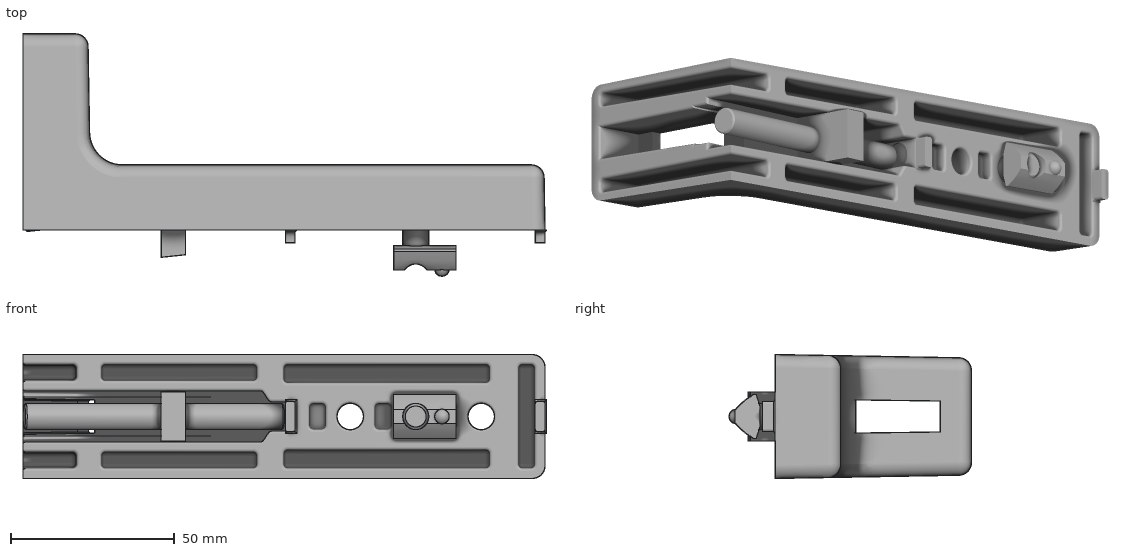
import cadquery as cq
import math

BODY_LENGTH = 159.6
BODY_HEIGHT = 38.0
BODY_HALF_HEIGHT = BODY_HEIGHT / 2
ARM_DEPTH = 20.0
LEG_DEPTH = 60.0
LEG_WIDTH = 21.0
BODY_DRAFT = 1.0
INNER_CORNER_RADIUS = 10.0
EDGE_RADIUS = 4.0

SIDE_WALL = 3.0
FLOOR_WALL = 3.4
END_WALL = 3.0
POCKET_DRAFT = 0.5
POCKET_CORNER_RADIUS = 1.3
POCKET_FLOOR_RADIUS = 1.3
RIM_RADIUS = 0.8
POCKET_TOP = BODY_HALF_HEIGHT - SIDE_WALL
SHORT_POCKET_HEIGHT = 5.1
LONG_POCKET_HEIGHT = 5.8
LEG_POCKET_END = 16.7
MIDDLE_POCKET_START = 24.0
MIDDLE_POCKET_LENGTH = 47.7
LONG_POCKET_START = 79.7
LONG_POCKET_LENGTH = 63.1
END_POCKET_WIDTH = 5.1

TILT = 6.0
SLOPE = math.tan(math.radians(TILT))
CHANNEL_HALF_HEIGHT = 7.8
CHANNEL_TAPER_START = 73.2
NECK_START = 75.4
NECK_HALF_HEIGHT = 4.5
CHANNEL_END = 80.2
CHANNEL_START_DEPTH = 10.1
SLOT_HALF_HEIGHT = 6.0
SLOT_END = 57.3
SLOT_DEPTH = CHANNEL_START_DEPTH + SLOT_END * SLOPE

LEG_OPENING_FRONT = 8.0
LEG_OPENING_FRONT_HALF_HEIGHT = 5.6
LEG_OPENING_BACK_HALF_HEIGHT = 5.0
LEG_OPENING_DRAFT = 1.0
WINDOW_REACH = 22.0
WINDOW_BACK = 50.5

HOLE_PITCH = 20.0
HOLE_COUNT = 3
FIRST_HOLE_X = 100.0
HOLE_RADIUS = 4.0
FIRST_RECESS_X = 90.1
RECESS_WIDTH = 5.1
RECESS_HEIGHT = 8.0
RECESS_DEPTH = 4.0
RECESS_FLOOR_RADIUS = 0.8

SEAT_RADIUS = 4.2
SEAT_Y = 8.0
SEAT_DEPTH = 0.8

TAB_WIDTH = 3.0
TAB_HALF_HEIGHT = 4.6
TAB_PROJECTION = 3.8
TAB_EDGE_RADIUS = 0.8
TAB_FLARE = 0.5
FLARE_ANGLE = 45

ROD_RADIUS = 4.0
ROD_LENGTH = 79.5
ROD_CHAMFER = 0.5
ROD_START_X = 0.5
ROD_START_Y = 3.5

SLIDER_X = 42.3
SLIDER_WIDTH = 7.5
SLIDER_HALF_HEIGHT = 7.5
SLIDER_FRONT = -8.3
SLIDER_BACK = 13.3

STUD_X = FIRST_HOLE_X + HOLE_PITCH
STUD_FRONT = -10.2
STUD_CHAMFER = 0.8
NUT_X = 113.4
NUT_LENGTH = 19.0
NUT_BACK = -4.6
NUT_SIDE_BACK = -5.8
NUT_SHOULDER = -6.5
NUT_FRONT = -12.2
NUT_HALF_HEIGHT = 6.7
NUT_BACK_HALF_HEIGHT = 3.2
NUT_FLAT_HALF_HEIGHT = 2.1
NUT_FLANK_BULGE = 0.24
BALL_X = 128.1
BALL_RADIUS = 2.2
BALL_FRONT = -14.1

BACKWARD = (0, 1, 0)
FORWARD = (0, -1, 0)
TOLERANCE = 0.02
MARGIN = 0.2


def block(x0, x1, y0, y1, z0, z1):
    """Box between two opposite corners."""
    return cq.Workplane("XY").box(x1 - x0, y1 - y0, z1 - z0, centered=False).translate((x0, y0, z0))


def drafted_block(x, z, width, height, depth, draft):
    """Block centred at (x, z) that starts at Y = 0 and narrows toward +Y."""
    plane = cq.Plane(origin=(x, 0, z), xDir=(1, 0, 0), normal=BACKWARD)
    return cq.Workplane(plane).rect(width, height).extrude(depth, taper=draft)


def round_bar(x, radius, y_front, y_back):
    """Cylinder along Y on the centre line of the part."""
    plane = cq.Plane(origin=(x, y_front, 0), xDir=(0, 0, 1), normal=BACKWARD)
    return cq.Workplane(plane).circle(radius).extrude(y_back - y_front)


def lies_at_start(edge):
    """True for an edge in the flat face X = 0 or the flat face Y = 0."""
    box = edge.BoundingBox()
    return box.xmax < TOLERANCE or box.ymax < TOLERANCE


def body_blank():
    """Drafted L shape with its inner corner and outer edges rounded; X = 0 and Y = 0 stay sharp."""
    arm = drafted_block(0, 0, 2 * BODY_LENGTH, 2 * BODY_HALF_HEIGHT, ARM_DEPTH, BODY_DRAFT)
    leg = drafted_block(0, 0, 2 * LEG_WIDTH, 2 * BODY_HALF_HEIGHT, LEG_DEPTH, BODY_DRAFT)
    kept_half = block(0, BODY_LENGTH, 0, LEG_DEPTH, -BODY_HALF_HEIGHT, BODY_HALF_HEIGHT)
    blank = arm.union(leg).intersect(kept_half).clean()
    corner = cq.selectors.BoxSelector(
        (LEG_WIDTH - 1.6, ARM_DEPTH - 1.6, -1.6), (LEG_WIDTH + 1.6, ARM_DEPTH + 1.6, 1.6))
    blank = blank.edges(corner).fillet(INNER_CORNER_RADIUS)
    outer_edges = [e for e in blank.edges().vals() if not lies_at_start(e)]
    return blank.newObject(outer_edges).fillet(EDGE_RADIUS)


def pocket(x0, x1, z_centre, height, depth, floor_radius=POCKET_FLOOR_RADIUS):
    """Drafted pocket with rounded corners and a rounded floor."""
    shape = drafted_block((x0 + x1) / 2, z_centre, x1 - x0, height, depth, POCKET_DRAFT)
    corners = [e for e in shape.edges().vals() if e.BoundingBox().ylen > depth / 2]
    shape = shape.newObject(corners).fillet(POCKET_CORNER_RADIUS)
    return shape.faces(">Y").edges().fillet(floor_radius)


def rod_channel():
    """Channel with a necked end and a floor sloping parallel to the rod."""
    outline = [
        (-CHANNEL_END, CHANNEL_HALF_HEIGHT),
        (CHANNEL_TAPER_START, CHANNEL_HALF_HEIGHT),
        (NECK_START, NECK_HALF_HEIGHT),
        (CHANNEL_END, NECK_HALF_HEIGHT),
        (CHANNEL_END, -NECK_HALF_HEIGHT),
        (NECK_START, -NECK_HALF_HEIGHT),
        (CHANNEL_TAPER_START, -CHANNEL_HALF_HEIGHT),
        (-CHANNEL_END, -CHANNEL_HALF_HEIGHT),
    ]
    plane = cq.Plane(origin=(0, 0, 0), xDir=(1, 0, 0), normal=BACKWARD)
    walls = cq.Workplane(plane).polyline(outline).close().extrude(ARM_DEPTH)
    bends = [e for e in walls.edges("|Y").vals() if abs(e.Center().x) < CHANNEL_END - MARGIN]
    walls = walls.newObject(bends).fillet(POCKET_CORNER_RADIUS)
    above_floor = (
        cq.Workplane("XY", origin=(0, 0, -CHANNEL_HALF_HEIGHT))
        .polyline([
            (0, 0),
            (CHANNEL_END, 0),
            (CHANNEL_END, CHANNEL_START_DEPTH + CHANNEL_END * SLOPE),
            (0, CHANNEL_START_DEPTH),
        ])
        .close()
        .extrude(2 * CHANNEL_HALF_HEIGHT)
    )
    return walls.intersect(above_floor)


def leg_opening(reach):
    """Drafted cut from the face X = 0 into the leg, narrowing toward the back and toward +X."""
    back = LEG_DEPTH - FLOOR_WALL
    outline = [
        (LEG_OPENING_FRONT, -LEG_OPENING_FRONT_HALF_HEIGHT),
        (back, -LEG_OPENING_BACK_HALF_HEIGHT),
        (back, LEG_OPENING_BACK_HALF_HEIGHT),
        (LEG_OPENING_FRONT, LEG_OPENING_FRONT_HALF_HEIGHT),
    ]
    return cq.Workplane("YZ").polyline(outline).close().extrude(reach, taper=LEG_OPENING_DRAFT)


def leg_window():
    """The part of the leg opening that breaks through the far side of the leg."""
    limit = block(0, WINDOW_REACH, 0, WINDOW_BACK, -SLOT_HALF_HEIGHT, SLOT_HALF_HEIGHT)
    return leg_opening(WINDOW_REACH).intersect(limit)


def channel_seat():
    """Round seat cut into the end wall of the channel."""
    return cq.Workplane("YZ", origin=(CHANNEL_END, SEAT_Y, 0)).circle(SEAT_RADIUS).extrude(SEAT_DEPTH)


def pockets():
    """All pockets that open on the front face, as separate cutters."""
    arm_depth = ARM_DEPTH - FLOOR_WALL
    leg_depth = LEG_DEPTH - FLOOR_WALL
    middle_end = MIDDLE_POCKET_START + MIDDLE_POCKET_LENGTH
    long_end = LONG_POCKET_START + LONG_POCKET_LENGTH
    cutters = []
    for side in (1, -1):
        short_z = side * (POCKET_TOP - SHORT_POCKET_HEIGHT / 2)
        long_z = side * (POCKET_TOP - LONG_POCKET_HEIGHT / 2)
        cutters.append(pocket(-LEG_POCKET_END, LEG_POCKET_END, short_z, SHORT_POCKET_HEIGHT, leg_depth))
        cutters.append(pocket(MIDDLE_POCKET_START, middle_end, short_z, SHORT_POCKET_HEIGHT, arm_depth))
        cutters.append(pocket(LONG_POCKET_START, long_end, long_z, LONG_POCKET_HEIGHT, arm_depth))
    end_x = BODY_LENGTH - END_WALL
    cutters.append(pocket(end_x - END_POCKET_WIDTH, end_x, 0, 2 * POCKET_TOP, arm_depth))
    for i in range(HOLE_COUNT):
        x = FIRST_RECESS_X + i * HOLE_PITCH
        cutters.append(pocket(x - RECESS_WIDTH / 2, x + RECESS_WIDTH / 2, 0, RECESS_HEIGHT,
                              RECESS_DEPTH, RECESS_FLOOR_RADIUS))
    return cutters


def is_rim(edge):
    """True for an edge of an opening in the front face or in the left face."""
    box = edge.BoundingBox()
    inside_height = max(abs(box.zmin), abs(box.zmax)) < POCKET_TOP + MARGIN
    in_front = box.ymax < TOLERANCE and TOLERANCE < box.xmax < BODY_LENGTH - MARGIN
    in_left = box.xmax < TOLERANCE and TOLERANCE < box.ymax < LEG_DEPTH - MARGIN
    return inside_height and (in_front or in_left)


def tab(x, width):
    """Rounded locating tab in front of the arm, flared at its root except on its left face."""
    shape = block(x, x + width, -TAB_PROJECTION, 0, -TAB_HALF_HEIGHT, TAB_HALF_HEIGHT)
    shape = shape.edges("|Y").fillet(TAB_EDGE_RADIUS)
    root_plane = cq.Plane(origin=(x + width / 2, 0, 0), xDir=(1, 0, 0), normal=FORWARD)
    root = (
        cq.Workplane(root_plane)
        .rect(width + 2 * TAB_FLARE, 2 * (TAB_HALF_HEIGHT + TAB_FLARE))
        .extrude(TAB_FLARE, taper=FLARE_ANGLE)
    )
    root_limit = block(x, x + width + TAB_FLARE, -TAB_FLARE, 0, -BODY_HALF_HEIGHT, BODY_HALF_HEIGHT)
    return shape.union(root.intersect(root_limit))


def make_housing():
    """L-shaped housing with its pockets, rod channel, holes, rounded rims and two tabs."""
    body = body_blank()
    for cutter in pockets():
        body = body.cut(cutter)
    slot = block(0, SLOT_END, 0, SLOT_DEPTH, -SLOT_HALF_HEIGHT, SLOT_HALF_HEIGHT)
    body = body.cut(rod_channel()).cut(slot)
    body = body.cut(leg_opening(LEG_POCKET_END)).cut(leg_window())
    for i in range(HOLE_COUNT):
        body = body.cut(round_bar(FIRST_HOLE_X + i * HOLE_PITCH, HOLE_RADIUS, 0, ARM_DEPTH))
    rims = [e for e in body.edges().vals() if is_rim(e)]
    body = body.newObject(rims).fillet(RIM_RADIUS)
    body = body.cut(channel_seat())
    body = body.union(tab(CHANNEL_END, TAB_WIDTH))
    return body.union(tab(BODY_LENGTH - END_WALL, END_WALL))


def make_rod():
    """Chamfered rod lying in the channel, rising toward +Y along its length."""
    rise = math.radians(TILT)
    axis = (math.cos(rise), math.sin(rise), 0)
    across = (axis[1], -axis[0], 0)
    plane = cq.Plane(origin=(ROD_START_X, ROD_START_Y, 0), xDir=across, normal=axis)
    rod = cq.Workplane(plane).circle(ROD_RADIUS).extrude(ROD_LENGTH)
    return rod.edges().chamfer(ROD_CHAMFER)


def make_slider(rod):
    """Block with front and back faces parallel to the rod that runs through it."""
    rise = SLIDER_WIDTH * SLOPE
    right = SLIDER_X + SLIDER_WIDTH
    slider = (
        cq.Workplane("XY", origin=(0, 0, -SLIDER_HALF_HEIGHT))
        .polyline([
            (SLIDER_X, SLIDER_FRONT),
            (right, SLIDER_FRONT + rise),
            (right, SLIDER_BACK + rise),
            (SLIDER_X, SLIDER_BACK),
        ])
        .close()
        .extrude(2 * SLIDER_HALF_HEIGHT)
    )
    return slider.cut(rod)


def make_stud():
    """Stud that fills its hole in the arm and carries the nut."""
    stud = round_bar(STUD_X, HOLE_RADIUS, STUD_FRONT, ARM_DEPTH)
    return stud.faces("<Y").edges().chamfer(STUD_CHAMFER)


def make_ball():
    """Detent ball partly sunk in the flat of the nut."""
    return cq.Workplane("XY").sphere(BALL_RADIUS).translate((BALL_X, BALL_FRONT + BALL_RADIUS, 0))


def make_nut(ball):
    """Clamp nut with a chamfered back, bulging flanks, a stud hole and a ball seat."""
    flank_y = (NUT_SHOULDER + NUT_FRONT) / 2 - NUT_FLANK_BULGE
    flank_z = (NUT_HALF_HEIGHT + NUT_FLAT_HALF_HEIGHT) / 2 + NUT_FLANK_BULGE
    profile = (
        cq.Workplane("YZ", origin=(NUT_X, 0, 0))
        .moveTo(NUT_BACK, -NUT_BACK_HALF_HEIGHT)
        .lineTo(NUT_BACK, NUT_BACK_HALF_HEIGHT)
        .lineTo(NUT_SIDE_BACK, NUT_HALF_HEIGHT)
        .lineTo(NUT_SHOULDER, NUT_HALF_HEIGHT)
        .threePointArc((flank_y, flank_z), (NUT_FRONT, NUT_FLAT_HALF_HEIGHT))
        .lineTo(NUT_FRONT, -NUT_FLAT_HALF_HEIGHT)
        .threePointArc((flank_y, -flank_z), (NUT_SHOULDER, -NUT_HALF_HEIGHT))
        .lineTo(NUT_SIDE_BACK, -NUT_HALF_HEIGHT)
        .close()
    )
    hole = round_bar(STUD_X, HOLE_RADIUS, NUT_FRONT, NUT_BACK)
    return profile.extrude(NUT_LENGTH).cut(hole).cut(ball)


rod = make_rod()
slider = make_slider(rod)
stud = make_stud()
ball = make_ball()
nut = make_nut(ball)
housing = make_housing()

result = cq.Compound.makeCompound([
    housing.val(),
    rod.val(),
    slider.val(),
    stud.val(),
    nut.val(),
    ball.val(),
])